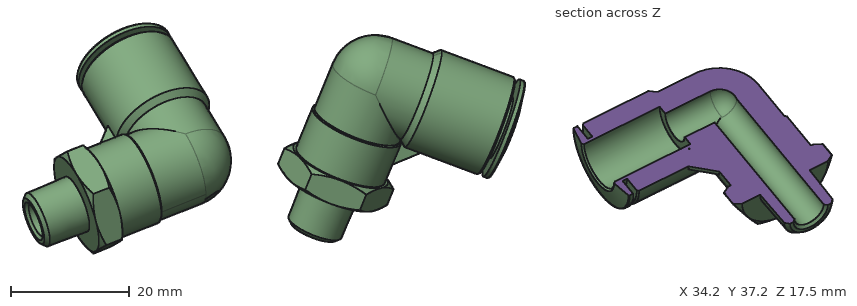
import cadquery as cq
import math


tube_reach = 24.33
thread_reach = 28.45

elbow_radius = 7.75

cap_diameter = 17.5
cap_face_diameter = 10.2
cap_cone_height = 0.65
cap_edge_length = 0.2
cap_edge_inset = 0.15
cap_rim_width = 0.75
neck_diameter = 10.95
neck_length = 0.8
body_diameter = cap_diameter
body_end = 8.6
body_front_chamfer = 0.3
body_taper_length = 1.15

collar_diameter = 16.1
collar_start = 8.25
collar_chamfer = 0.22
hex_flats = 17.1
hex_start = 15.95
hex_end = 20.42
hex_chamfer_angle = 30
thread_root_radius = 5.0
thread_tip_radius = 4.85
thread_chamfer_length = 0.7
thread_face_radius = 4.13

socket_diameter = 9.52
socket_bottom = 8.93
mouth_chamfer = (cap_face_diameter - socket_diameter) / 2
tube_passage_diameter = 6.0
thread_passage_diameter = 5.8
thread_mouth_diameter = 6.85
thread_mouth_chamfer = (thread_mouth_diameter - thread_passage_diameter) / 2

rib_thickness = 1.53
rib_offset = 20.55


def turned_along_x(profile):
    """Solid turned about X from (distance along -X, radius) points."""
    points = [(-distance, radius) for distance, radius in profile]
    return cq.Workplane("XY").polyline(points).close().revolve(360, (0, 0), (1, 0))


def turned_along_y(profile):
    """Solid turned about Y from (distance along -Y, radius) points."""
    points = [(radius, -distance) for distance, radius in profile]
    return cq.Workplane("XY").polyline(points).close().revolve(360, (0, 0), (0, 1))


def cylinder_profile(start, end, radius):
    return [(start, 0), (start, radius), (end, radius), (end, 0)]


def elbow(tube_radius, tube_length, thread_radius, thread_length):
    """Two cylinders joined by a sphere of the tube radius at the crossing of the arm axes."""
    tube_arm = turned_along_x(cylinder_profile(0, tube_length, tube_radius))
    thread_arm = turned_along_y(cylinder_profile(0, thread_length, thread_radius))
    return tube_arm.union(thread_arm).union(cq.Workplane("XY").sphere(tube_radius))


def tube_arm_outside():
    cone_end = tube_reach - cap_cone_height
    rim_front = cone_end - cap_edge_length
    rim_back = rim_front - cap_rim_width
    body_front = rim_back - neck_length
    cap_radius = cap_diameter / 2
    body_radius = body_diameter / 2
    neck_radius = neck_diameter / 2
    taper_end = body_end - body_taper_length
    cap = turned_along_x([
        (tube_reach, 0),
        (tube_reach, cap_face_diameter / 2),
        (cone_end, cap_radius - cap_edge_inset),
        (rim_front, cap_radius),
        (rim_back, cap_radius),
        (rim_back, 0),
    ])
    neck = turned_along_x(cylinder_profile(body_end, rim_back, neck_radius))
    body = turned_along_x([
        (body_front, 0),
        (body_front, body_radius - body_front_chamfer),
        (body_front - body_front_chamfer, body_radius),
        (body_end, body_radius),
        (taper_end, elbow_radius),
        (taper_end, 0),
    ])
    return cap.union(neck).union(body)


def hexagon():
    """Hexagon with corners on the X axis, its corners turned off at both faces."""
    corner_radius = hex_flats / math.sqrt(3)
    flat_radius = hex_flats / 2
    corner_drop = (corner_radius - flat_radius) * math.tan(math.radians(hex_chamfer_angle))
    prism = (
        cq.Workplane("XZ", origin=(0, -hex_start, 0))
        .polygon(6, 2 * corner_radius)
        .extrude(hex_end - hex_start)
    )
    chamfered_disc = turned_along_y([
        (hex_start, 0),
        (hex_start, flat_radius),
        (hex_start + corner_drop, corner_radius),
        (hex_end - corner_drop, corner_radius),
        (hex_end, flat_radius),
        (hex_end, 0),
    ])
    return prism.intersect(chamfered_disc)


def thread_arm_outside():
    collar_radius = collar_diameter / 2
    collar = turned_along_y([
        (collar_start, 0),
        (collar_start, collar_radius - collar_chamfer),
        (collar_start + collar_chamfer, collar_radius),
        (hex_start, collar_radius),
        (hex_start, 0),
    ])
    thread = turned_along_y([
        (hex_end, 0),
        (hex_end, thread_root_radius),
        (thread_reach - thread_chamfer_length, thread_tip_radius),
        (thread_reach, thread_face_radius),
        (thread_reach, 0),
    ])
    return collar.union(hexagon()).union(thread)


def corner_rib():
    return (
        cq.Workplane("XY")
        .polyline([
            (-elbow_radius, -elbow_radius),
            (elbow_radius - rib_offset, -elbow_radius),
            (-elbow_radius, elbow_radius - rib_offset),
        ])
        .close()
        .extrude(rib_thickness / 2, both=True)
    )


def passages():
    socket_radius = socket_diameter / 2
    tube_passage_radius = tube_passage_diameter / 2
    thread_passage_radius = thread_passage_diameter / 2
    socket = turned_along_x([
        (socket_bottom, 0),
        (socket_bottom, socket_radius),
        (tube_reach - mouth_chamfer, socket_radius),
        (tube_reach, socket_radius + mouth_chamfer),
        (tube_reach, 0),
    ])
    thread_mouth = turned_along_y([
        (thread_reach - thread_mouth_chamfer, 0),
        (thread_reach - thread_mouth_chamfer, thread_passage_radius),
        (thread_reach, thread_mouth_diameter / 2),
        (thread_reach, 0),
    ])
    channels = elbow(tube_passage_radius, socket_bottom, thread_passage_radius, thread_reach)
    return channels.union(socket).union(thread_mouth)


result = (
    elbow(elbow_radius, body_end, elbow_radius, hex_start)
    .union(tube_arm_outside())
    .union(thread_arm_outside())
    .union(corner_rib())
    .cut(passages())
)